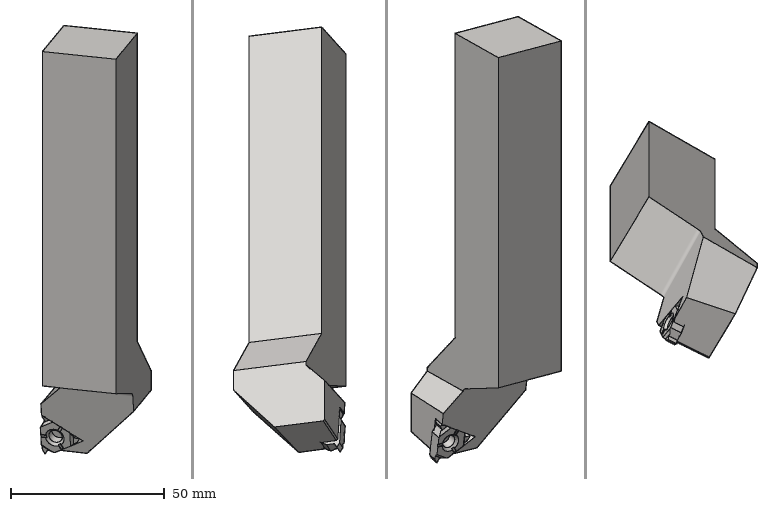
import cadquery as cq
import math

TOTAL_HEIGHT = 150.3
SHANK = 25.0
HEAD_BACK = 40.9
CRANK_TOP = 42.8
SHANK_FRONT_BOTTOM = 33.8
UNDERCUT_ANGLE = 20.0
UNDERCUT_RUN = 20.1
CRANK_FILLET = 2.0
TILT = 10.0
SKEW = 1.5
HEAD_BOTTOM = 2.4
SIDE_REACH = 6.9
SHOULDER_TOP = 25.7
CORNER_TOP = 20.1
CORNER_RUN = 16.8
HEAD_BEVEL = 0.6

INSCRIBED_RADIUS = 4.8
INSERT_SIDE = 7.5
THICKNESS = 4.0
TIP_U = -3.9
TIP_V = -7.2
TOOTH_BASE_V = -5.7
TOOTH_HALF_ANGLE = 30.0
RAMP_START = 5.3
TIP_DROP = 0.83
HOLE_RADIUS = 2.3
COUNTERSINK_RADIUS = 3.2
MARK_WIDTH = 0.9
MARK_DEPTH = 0.3
CORNERS = 3
CORNER_STEP = 360.0 / CORNERS
FIRST_CORNER = -120.0
FIRST_SIDE = 180.0

TAN_TILT = math.tan(math.radians(TILT))
SIN_TILT = math.sin(math.radians(TILT))
COS_TILT = math.cos(math.radians(TILT))
SIN_SKEW = math.sin(math.radians(SKEW))
COS_SKEW = math.cos(math.radians(SKEW))
INSERT_CENTER_Z = SIN_TILT * (TIP_U * SIN_SKEW - TIP_DROP * COS_SKEW) - TIP_V * COS_TILT
UNDERCUT_BOTTOM = SHANK_FRONT_BOTTOM - UNDERCUT_RUN * math.tan(math.radians(UNDERCUT_ANGLE))
MARGIN = 15.0


def seat_y(z):
    """Y of the leaning seat face at height z, in line with the insert centre."""
    return UNDERCUT_RUN + (UNDERCUT_BOTTOM - z) * TAN_TILT


SEAT = cq.Plane(
    origin=(INSCRIBED_RADIUS * COS_SKEW - INSERT_SIDE, seat_y(INSERT_CENTER_Z), INSERT_CENTER_Z),
    xDir=(1, 0, 0),
    normal=(0, -COS_TILT, -SIN_TILT),
).rotated((0, -SKEW, 0))


def bottom_z(y):
    """Height of the head's bottom face, which is square to the seat face."""
    return HEAD_BOTTOM + (y - seat_y(HEAD_BOTTOM)) * TAN_TILT


def side_body():
    """Shank and cranked head in the YZ plane, extruded over the full width."""
    profile = [
        (0, TOTAL_HEIGHT),
        (0, bottom_z(0)),
        (HEAD_BACK, bottom_z(HEAD_BACK)),
        (HEAD_BACK, CRANK_TOP - (HEAD_BACK - SHANK)),
        (SHANK, CRANK_TOP),
        (SHANK, TOTAL_HEIGHT),
    ]
    return (
        cq.Workplane("YZ").workplane(offset=-SIDE_REACH)
        .polyline(profile).close().extrude(SIDE_REACH + SHANK)
    )


def undercut():
    """Space in front of the seat face and below the sloping underside of the shank."""
    rise = HEAD_BACK * math.tan(math.radians(UNDERCUT_ANGLE))
    below_slope = (
        cq.Workplane("YZ").workplane(offset=-MARGIN)
        .polyline([
            (0, SHANK_FRONT_BOTTOM),
            (HEAD_BACK, SHANK_FRONT_BOTTOM - rise),
            (HEAD_BACK, -MARGIN),
            (0, -MARGIN),
        ])
        .close().extrude(SHANK + 2 * MARGIN)
    )
    before_seat = cq.Workplane(SEAT).rect(TOTAL_HEIGHT, TOTAL_HEIGHT).extrude(HEAD_BACK)
    return below_slope.intersect(before_seat)


def undercut_body():
    """Full-width body with the undercut made and its inner corner rounded."""
    body = side_body().cut(undercut())
    inner_corner = cq.selectors.NearestToPointSelector((SHANK / 2, UNDERCUT_RUN, UNDERCUT_BOTTOM))
    return body.edges(inner_corner).fillet(CRANK_FILLET)


def front_outline():
    """Outline across the width: shank, overhanging head and sloping corner cut."""
    outline = [
        (0, TOTAL_HEIGHT),
        (0, SHOULDER_TOP),
        (-SIDE_REACH, SHOULDER_TOP - SIDE_REACH * COS_TILT),
        (-SIDE_REACH, HEAD_BOTTOM),
        (SHANK - CORNER_RUN, HEAD_BOTTOM),
        (SHANK, CORNER_TOP),
        (SHANK, TOTAL_HEIGHT),
    ]
    return cq.Workplane("XZ").polyline(outline).close().extrude(-HEAD_BACK)


def side_relief():
    """Thin wedge that leans the overhanging side inward toward the rear, square to the seat."""
    lean = (HEAD_BACK - UNDERCUT_RUN) * math.tan(math.radians(SKEW))
    wedge = [
        (-SIDE_REACH, UNDERCUT_RUN),
        (-SIDE_REACH + lean, HEAD_BACK),
        (-SIDE_REACH, HEAD_BACK),
    ]
    return cq.Workplane("XY").polyline(wedge).close().extrude(SHOULDER_TOP)


def bottom_bevel():
    """45-degree bevel along the lower edge of the overhanging side."""
    section = [
        (-MARGIN, -MARGIN),
        (MARGIN + HEAD_BEVEL, -MARGIN),
        (-MARGIN, MARGIN + HEAD_BEVEL),
    ]
    plane = cq.Plane(
        origin=(-SIDE_REACH, seat_y(HEAD_BOTTOM), HEAD_BOTTOM),
        xDir=SEAT.xDir.toTuple(),
        normal=SEAT.zDir.toTuple(),
    )
    return cq.Workplane(plane).polyline(section).close().extrude(2 * MARGIN, both=True)


def triangle_prism():
    """Full insert triangle, from the seat face down to the pocket floor."""
    corner_radius = 2 * INSCRIBED_RADIUS
    return (
        cq.Workplane(SEAT).transformed(rotate=(0, 0, FIRST_CORNER))
        .polygon(CORNERS, 2 * corner_radius).extrude(-THICKNESS)
    )


def make_holder():
    body = undercut_body().intersect(front_outline())
    return body.cut(side_relief()).cut(bottom_bevel()).cut(triangle_prism())


def tooth_relief(corner):
    """Material removed around one tooth: beside it, past it and on its outer flank."""
    slope = math.tan(math.radians(TOOTH_HALF_ANGLE))
    base_u = TIP_U + (TOOTH_BASE_V - TIP_V) * slope
    flank_v = TIP_V + (TIP_U + INSCRIBED_RADIUS) / slope
    outline = [
        (-INSCRIBED_RADIUS, flank_v),
        (TIP_U, TIP_V),
        (base_u, TOOTH_BASE_V),
        (INSCRIBED_RADIUS, TOOTH_BASE_V),
        (INSCRIBED_RADIUS, -MARGIN),
        (-INSCRIBED_RADIUS, -MARGIN),
    ]
    return (
        cq.Workplane(SEAT).transformed(rotate=(0, 0, corner * CORNER_STEP))
        .polyline(outline).close().extrude(-THICKNESS)
    )


def tip_step(corner):
    """45-degree ramp and step that lower the top face at one corner."""
    section = [
        (RAMP_START, 0),
        (RAMP_START + TIP_DROP, -TIP_DROP),
        (MARGIN, -TIP_DROP),
        (MARGIN, 0),
    ]
    return (
        cq.Workplane(SEAT).transformed(rotate=(0, 0, FIRST_CORNER + corner * CORNER_STEP))
        .transformed(rotate=(90, 0, 0))
        .polyline(section).close().extrude(MARGIN, both=True)
    )


def side_mark(corner):
    """Shallow groove from the hole to the middle of one side."""
    return (
        cq.Workplane(SEAT).transformed(rotate=(0, 0, FIRST_SIDE + corner * CORNER_STEP))
        .center(INSCRIBED_RADIUS / 2, 0)
        .rect(INSCRIBED_RADIUS, MARK_WIDTH).extrude(-MARK_DEPTH)
    )


def screw_hole():
    """Countersunk through hole."""
    countersink_depth = COUNTERSINK_RADIUS - HOLE_RADIUS
    section = [
        (0, 0),
        (COUNTERSINK_RADIUS, 0),
        (HOLE_RADIUS, -countersink_depth),
        (HOLE_RADIUS, -THICKNESS),
        (0, -THICKNESS),
    ]
    return (
        cq.Workplane(SEAT).transformed(rotate=(90, 0, 0))
        .polyline(section).close().revolve(360, (0, 0, 0), (0, 1, 0))
    )


def make_insert():
    body = triangle_prism().cut(screw_hole())
    for corner in range(CORNERS):
        body = body.cut(tooth_relief(corner)).cut(tip_step(corner)).cut(side_mark(corner))
    return body


holder = make_holder()
insert = make_insert()
result = cq.Compound.makeCompound([holder.val(), insert.val()])